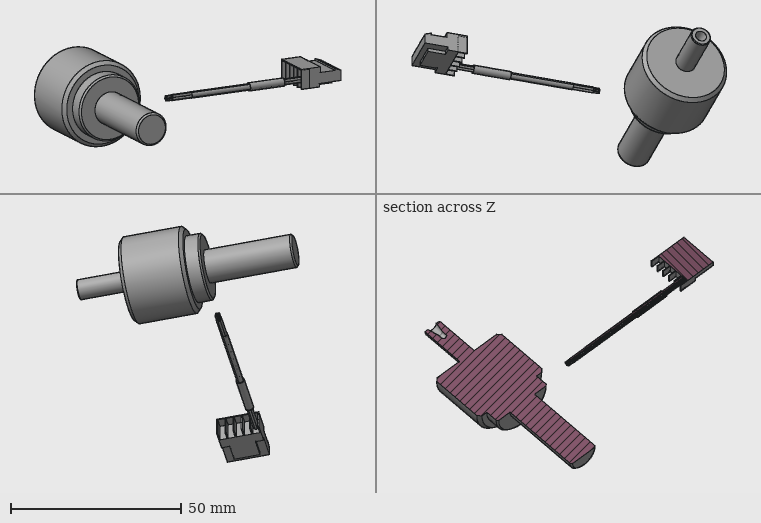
import cadquery as cq
import math

SHAFT_DIAMETER = 6.0
SHAFT_LENGTH = 15.0
BODY_DIAMETER = 26.0
BODY_LENGTH = 19.5
FLANGE_DIAMETER = 20.0
FLANGE_LENGTH = 4.6
PIPE_DIAMETER = 10.0
UNIT_LENGTH = 65.5
SHAFT_CHAMFER = 0.3
BODY_CHAMFER = 1.1
FLANGE_CHAMFER = 0.5
PIPE_CHAMFER = 0.5

BORE_MOUTH_DIAMETER = 3.3
TAPER_DEPTH = 3.6
PILOT_DIAMETER = 1.6
PILOT_DEPTH = 5.4
DRILL_POINT_ANGLE = 118.0

OVERALL_WIDTH = 89.8
CONNECTOR_END_Y = OVERALL_WIDTH - BODY_DIAMETER / 2
CONNECTOR_LENGTH = 13.0
CONNECTOR_LEFT_X = 25.8
CONNECTOR_WIDTH = 12.75
CONNECTOR_TOP_Z = 3.5
CONNECTOR_BOTTOM_Z = -2.6
REAR_TOP_LENGTH = 6.2
REAR_BOTTOM_LENGTH = 5.9
NOSE_TOP_Z = 1.8
NOSE_BOTTOM_Z = -1.5
LATCH_LENGTH = 2.0
LATCH_EDGE_Z = 1.6
LATCH_PEAK_Z = 2.3
KEY_SETBACK = 1.7
POLE_COUNT = 5
POCKET_WALL = 0.4
POCKET_ROOF = 0.4
POCKET_DEPTH = 2.7

CONNECTOR_REAR_Y = CONNECTOR_END_Y - CONNECTOR_LENGTH
TOP_STEP_Y = CONNECTOR_REAR_Y + REAR_TOP_LENGTH
BOTTOM_STEP_Y = CONNECTOR_REAR_Y + REAR_BOTTOM_LENGTH
POLE_PITCH = (CONNECTOR_WIDTH - POCKET_WALL) / POLE_COUNT
POCKET_WIDTH = POLE_PITCH - POCKET_WALL

SLEEVE_DIAMETER = 2.5
SLEEVE_LENGTH = 11.4
JACKET_DIAMETER = 2.0
JACKET_LENGTH = 30.6
BARE_WIRE_LENGTH = 5.4
STRIPPED_WIRE_LENGTH = 6.3
CONDUCTOR_LENGTH = 1.9
WIRE_DIAMETER = 0.7
CONDUCTOR_DIAMETER = 0.5
WIRE_CIRCLE_RADIUS = 0.6
FIRST_WIRE_ANGLE = 121.0

CABLE_X = CONNECTOR_LEFT_X + CONNECTOR_WIDTH - POCKET_WALL - POCKET_WIDTH / 2
CABLE_START_Y = CONNECTOR_REAR_Y - BARE_WIRE_LENGTH
CABLE_END_Y = CABLE_START_Y - JACKET_LENGTH
INSULATION_END_Y = CABLE_END_Y - STRIPPED_WIRE_LENGTH
BUNDLE_DIAMETER = 2 * WIRE_CIRCLE_RADIUS + WIRE_DIAMETER


def rod_x(start, length, diameter):
    """Cylinder on the X axis."""
    return cq.Workplane("YZ", origin=(start, 0, 0)).circle(diameter / 2).extrude(length)


def rod_y(x, z, start, length, diameter):
    """Cylinder that runs from its start towards -Y."""
    return cq.Workplane("XZ", origin=(x, start, z)).circle(diameter / 2).extrude(length)


def make_bore():
    """Cutting tool for the tapered bore and its pilot hole, which ends in a drill point."""
    pilot_radius = PILOT_DIAMETER / 2
    point_length = pilot_radius / math.tan(math.radians(DRILL_POINT_ANGLE / 2))
    profile = [
        (0, 0),
        (0, BORE_MOUTH_DIAMETER / 2),
        (TAPER_DEPTH, pilot_radius),
        (PILOT_DEPTH, pilot_radius),
        (PILOT_DEPTH + point_length, 0),
    ]
    return cq.Workplane("XY").polyline(profile).close().revolve(360, (0, 0, 0), (1, 0, 0))


def make_rotary_unit():
    body_end = SHAFT_LENGTH + BODY_LENGTH
    flange_end = body_end + FLANGE_LENGTH
    shaft = rod_x(0, SHAFT_LENGTH, SHAFT_DIAMETER).faces("<X").chamfer(SHAFT_CHAMFER)
    body = rod_x(SHAFT_LENGTH, BODY_LENGTH, BODY_DIAMETER).faces("<X or >X").chamfer(BODY_CHAMFER)
    flange = rod_x(body_end, FLANGE_LENGTH, FLANGE_DIAMETER).faces(">X").chamfer(FLANGE_CHAMFER)
    pipe = rod_x(flange_end, UNIT_LENGTH - flange_end, PIPE_DIAMETER).faces(">X").chamfer(PIPE_CHAMFER)
    return shaft.union(body).union(flange).union(pipe).cut(make_bore())


def make_connector():
    latch_y = CONNECTOR_END_Y - LATCH_LENGTH
    profile = [
        (CONNECTOR_REAR_Y, CONNECTOR_BOTTOM_Z),
        (CONNECTOR_REAR_Y, CONNECTOR_TOP_Z),
        (TOP_STEP_Y, CONNECTOR_TOP_Z),
        (TOP_STEP_Y, NOSE_TOP_Z),
        (latch_y, NOSE_TOP_Z),
        (latch_y, LATCH_PEAK_Z),
        (CONNECTOR_END_Y, LATCH_EDGE_Z),
        (CONNECTOR_END_Y, NOSE_BOTTOM_Z),
        (BOTTOM_STEP_Y, NOSE_BOTTOM_Z),
        (BOTTOM_STEP_Y, CONNECTOR_BOTTOM_Z),
    ]
    side = cq.Workplane("YZ", origin=(CONNECTOR_LEFT_X, 0, 0))
    connector = side.polyline(profile).close().extrude(CONNECTOR_WIDTH)

    key = cq.Workplane("XY").box(
        CONNECTOR_WIDTH - 2 * POLE_PITCH,
        CONNECTOR_END_Y - KEY_SETBACK - BOTTOM_STEP_Y,
        NOSE_BOTTOM_Z - CONNECTOR_BOTTOM_Z,
        centered=False,
    ).translate((CONNECTOR_LEFT_X + POLE_PITCH, BOTTOM_STEP_Y, CONNECTOR_BOTTOM_Z))
    connector = connector.union(key)

    pocket = cq.Workplane("XY").box(
        POCKET_WIDTH,
        POCKET_DEPTH,
        CONNECTOR_TOP_Z - POCKET_ROOF - CONNECTOR_BOTTOM_Z,
        centered=False,
    )
    for pole in range(POLE_COUNT):
        pocket_x = CONNECTOR_LEFT_X + POCKET_WALL + pole * POLE_PITCH
        connector = connector.cut(pocket.translate((pocket_x, CONNECTOR_REAR_Y, CONNECTOR_BOTTOM_Z)))
    return connector


def make_sleeve():
    outside = rod_y(CABLE_X, 0, CABLE_START_Y, SLEEVE_LENGTH, SLEEVE_DIAMETER)
    return outside.cut(rod_y(CABLE_X, 0, CABLE_START_Y, SLEEVE_LENGTH, JACKET_DIAMETER))


def make_jacket():
    outside = rod_y(CABLE_X, 0, CABLE_START_Y, JACKET_LENGTH, JACKET_DIAMETER)
    return outside.cut(rod_y(CABLE_X, 0, CABLE_START_Y, JACKET_LENGTH, BUNDLE_DIAMETER))


def make_wire(angle):
    """Insulated wire from the pocket's inner wall to its stripped conductor tip."""
    x = CABLE_X + WIRE_CIRCLE_RADIUS * math.cos(angle)
    z = WIRE_CIRCLE_RADIUS * math.sin(angle)
    start = CONNECTOR_REAR_Y + POCKET_DEPTH
    insulation = rod_y(x, z, start, start - INSULATION_END_Y, WIRE_DIAMETER)
    conductor = rod_y(x, z, INSULATION_END_Y, CONDUCTOR_LENGTH, CONDUCTOR_DIAMETER)
    return insulation.union(conductor)


rotary_unit = make_rotary_unit()
connector = make_connector()
sleeve = make_sleeve()
jacket = make_jacket()
wires = []
for position in range(POLE_COUNT):
    wires.append(make_wire(math.radians(FIRST_WIRE_ANGLE + position * 360 / POLE_COUNT)))

result = cq.Compound.makeCompound(
    [rotary_unit.val(), connector.val(), sleeve.val(), jacket.val(), *[wire.val() for wire in wires]]
)